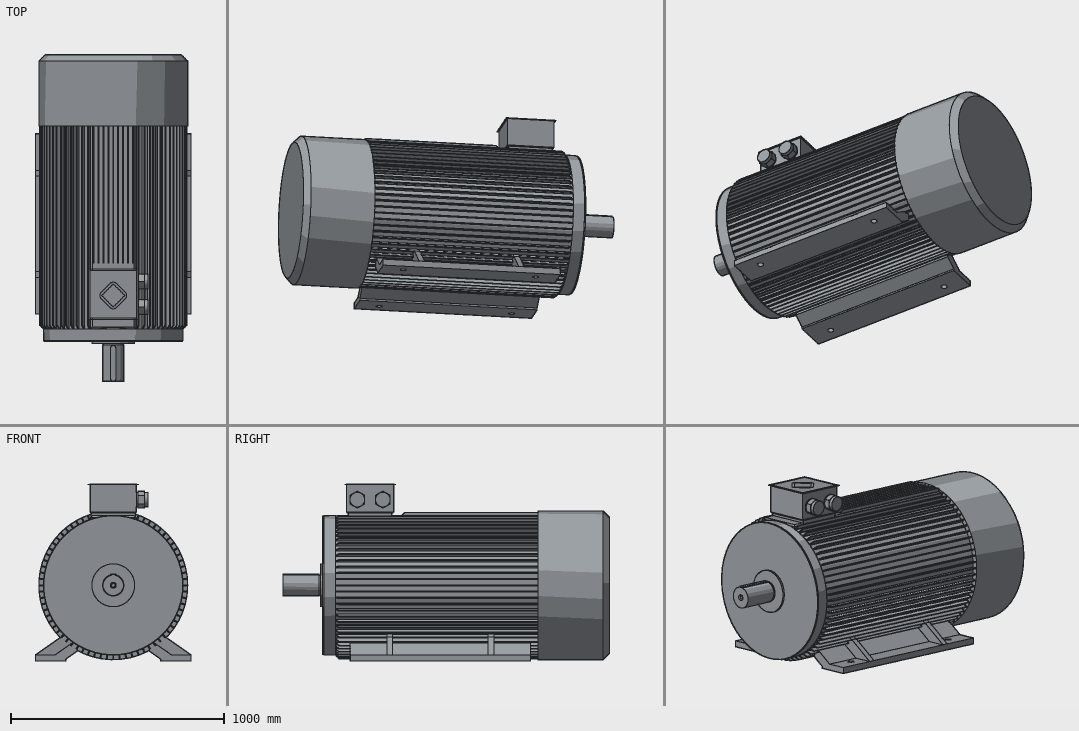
import cadquery as cq
import math


shaft_tip_y = 0.0
neck_y = 170.0
hub_y = 177.0
flange_y = 187.0
flange_step_y = 193.0
frame_y = 246.0
cover_y = 1195.0
rear_y = 1530.0

shaft_d = 100.0
neck_d = 95.0
centre_hole_d = 17.0
centre_sink_d = 28.0
centre_sink_angle = 90
centre_hole_depth = 46.0
hub_d = 200.0
core_d = 650.0
flange_d = 653.0
cover_d = 698.0
cover_chamfer = 30.0

key_width = 25.0
key_top_z = 52.0
key_bottom_z = 25.0
key_end_y = 168.0

fin_count = 72
fin_width = 5.0
fin_d = 688.0
fin_chamfer = 17.0
top_fin_count = 9
top_fin_pitch = 23.0
top_fin_y = 554.0
top_fin_z = 341.0

axis_height = 355.0
total_height = 830.0
box_y = 409.0
pad_half_width = 105.0
pad_z = 326.0
pad_chamfer = 8.0
neck_length = 205.0
neck_width = 208.0
box_length = 222.0
box_width = 217.0
box_z = 343.0
gasket_thickness = 5.0
gasket_inset = 3.0
lid_length = 235.0
lid_width = 234.0
lid_thickness = 2.0
lid_panel_thickness = 2.0
badge_y = 402.0
badge_side = 101.0
badge_rim = 12.0
badge_corner = 21.0
badge_depth = 0.8

gland_spacing = 120.0
gland_z = 401.0
gland_nut_d = 80.0
gland_nut_start_x = 115.0
gland_nut_end_x = 145.0
gland_d = 69.0
gland_end_x = 164.0

foot_span = 730.0
foot_y = 737.0
foot_length = 845.0
foot_plate_thickness = 29.0
plate_inner_x = 272.0
sole_inner_x = 222.0
sole_edge_height = 9.0
web_slope = 0.7
web_end_x = 168.0
gusset_width = 28.0
gusset_spacing = 475.0
foot_hole_d = 28.0
foot_hole_x = 305.0
foot_hole_spacing = 630.0

lid_top_z = total_height - axis_height
foot_bottom_z = -axis_height
foot_half_span = foot_span / 2

overlap = 15.0


def disc(diameter, y_start, y_end):
    """Cylinder about the shaft axis between two stations."""
    blank = cq.Workplane("XZ", origin=(0, y_start, 0)).circle(diameter / 2)
    return blank.extrude(y_start - y_end)


def block(x_size, y_size, z_low, z_high, y_centre):
    """Upright box centred on X = 0."""
    base = cq.Workplane("XY", origin=(0, y_centre, z_low)).rect(x_size, y_size)
    return base.extrude(z_high - z_low)


def make_round_body():
    cover = disc(cover_d, cover_y, rear_y).faces(">Y").chamfer(cover_chamfer)
    body = cover.union(disc(core_d, flange_y, cover_y + overlap))
    body = body.union(disc(flange_d, flange_step_y, frame_y))
    return body.union(disc(hub_d, hub_y, flange_y + overlap))


def make_shaft():
    shaft = disc(shaft_d, shaft_tip_y, neck_y)
    shaft = shaft.union(disc(neck_d, neck_y, hub_y + overlap))
    shaft = shaft.faces("<Y").workplane(origin=(0, shaft_tip_y, 0))
    shaft = shaft.cskHole(centre_hole_d, centre_sink_d, centre_sink_angle, centre_hole_depth)
    key = cq.Workplane("XY", origin=(0, key_end_y / 2, key_bottom_z))
    key = key.slot2D(key_end_y, key_width, 90).extrude(key_top_z - key_bottom_z)
    return shaft.union(key)


def make_fin(y_start, top):
    """Straight fin standing on +Z up to the height top, with a 45 degree front corner."""
    root = core_d / 2 - overlap
    outline = [
        (y_start, root),
        (y_start, top - fin_chamfer),
        (y_start + fin_chamfer, top),
        (cover_y, top),
        (cover_y, root),
    ]
    profile = cq.Workplane("YZ").polyline(outline).close()
    return profile.extrude(fin_width / 2, both=True).val()


def make_fins():
    """Radial fins all round, except where the pad is, plus parallel upright fins on the pad."""
    fins = []
    radial_fin = make_fin(frame_y, fin_d / 2)
    for i in range(fin_count):
        angle = 360 / fin_count * i
        x = fin_d / 2 * math.sin(math.radians(angle))
        on_top = math.cos(math.radians(angle)) > 0
        if not (on_top and abs(x) < pad_half_width + fin_width / 2):
            fins.append(radial_fin.rotate((0, 0, 0), (0, 1, 0), angle))
    upright_fin = make_fin(top_fin_y, top_fin_z)
    for i in range(top_fin_count):
        x = (i - (top_fin_count - 1) / 2) * top_fin_pitch
        fins.append(upright_fin.translate((x, 0, 0)))
    return fins


def make_pad():
    pad_length = cover_y - frame_y
    pad_centre_y = (cover_y + frame_y) / 2
    pad = block(2 * pad_half_width, pad_length, 0, pad_z, pad_centre_y)
    return pad.faces(">Z").edges("|Y or <Y").chamfer(pad_chamfer)


def make_terminal_box():
    panel_z = lid_top_z - lid_panel_thickness
    lid_z = panel_z - lid_thickness
    gasket_z = box_z - gasket_thickness
    gasket_width = box_width - 2 * gasket_inset
    gasket_length = box_length - 2 * gasket_inset
    box = block(neck_width, neck_length, pad_z - overlap, gasket_z, box_y)
    box = box.union(block(gasket_width, gasket_length, gasket_z, box_z, box_y))
    box = box.union(block(box_width, box_length, box_z, lid_z, box_y))
    box = box.union(block(lid_width, lid_length, lid_z, panel_z, box_y))
    box = box.union(block(box_width, box_length, panel_z, lid_top_z, box_y))
    return box.cut(make_badge_groove())


def make_badge_groove():
    """Shallow groove in the lid that frames a square badge turned by 45 degrees."""
    inner_side = badge_side - 2 * badge_rim
    groove = block(badge_side, badge_side, lid_top_z - badge_depth, lid_top_z, 0)
    groove = groove.edges("|Z").fillet(badge_corner)
    island = block(inner_side, inner_side, lid_top_z - badge_depth, lid_top_z, 0)
    groove = groove.cut(island)
    return groove.rotate((0, 0, 0), (0, 0, 1), 45).translate((0, badge_y, 0))


def make_gland(y):
    """Hexagon nut and round collar on the +X wall, with a corner of the nut on top."""
    wall_x = box_width / 2
    start = cq.Workplane("YZ", origin=(wall_x - overlap, y, gland_z))
    collar = start.circle(gland_d / 2).extrude(gland_end_x - wall_x + overlap)
    nut = cq.Workplane("YZ", origin=(gland_nut_start_x, y, gland_z)).transformed(rotate=(0, 0, 90))
    nut = nut.polygon(6, gland_nut_d).extrude(gland_nut_end_x - gland_nut_start_x)
    return collar.union(nut)


def extrude_foot_profile(outline, length, y_centre):
    profile = cq.Workplane("XZ", origin=(0, y_centre, 0)).polyline(outline).close()
    return profile.extrude(length / 2, both=True)


def make_foot():
    """Right-hand foot: bolted plate, sloping web into the frame and two gussets."""
    plate_z = foot_bottom_z + foot_plate_thickness
    web_top_z = plate_z + web_slope * (plate_inner_x - web_end_x)
    sole_z = foot_bottom_z + sole_edge_height
    web_bottom_z = sole_z + web_slope * (sole_inner_x - web_end_x)
    foot = extrude_foot_profile(
        [
            (foot_half_span, foot_bottom_z),
            (foot_half_span, plate_z),
            (plate_inner_x, plate_z),
            (web_end_x, web_top_z),
            (web_end_x, web_bottom_z),
            (sole_inner_x, sole_z),
            (sole_inner_x, foot_bottom_z),
        ],
        foot_length,
        foot_y,
    )
    gusset_top_z = plate_z + web_slope * (foot_half_span - web_end_x)
    gusset_outline = [
        (foot_half_span, plate_z),
        (web_end_x, gusset_top_z),
        (web_end_x, web_top_z),
        (plate_inner_x, plate_z),
    ]
    for side in (-1, 1):
        gusset_y = foot_y + side * gusset_spacing / 2
        foot = foot.union(extrude_foot_profile(gusset_outline, gusset_width, gusset_y))
        hole_y = foot_y + side * foot_hole_spacing / 2
        hole = cq.Workplane("XY", origin=(foot_hole_x, hole_y, foot_bottom_z))
        foot = foot.cut(hole.circle(foot_hole_d / 2).extrude(foot_plate_thickness))
    return foot


result = make_round_body().union(make_shaft()).union(make_pad())
for fin in make_fins():
    result = result.union(cq.Workplane(fin))
result = result.union(make_terminal_box())
for side in (-1, 1):
    result = result.union(make_gland(box_y + side * gland_spacing / 2))

right_foot = make_foot()
result = result.union(right_foot).union(right_foot.mirror("YZ"))